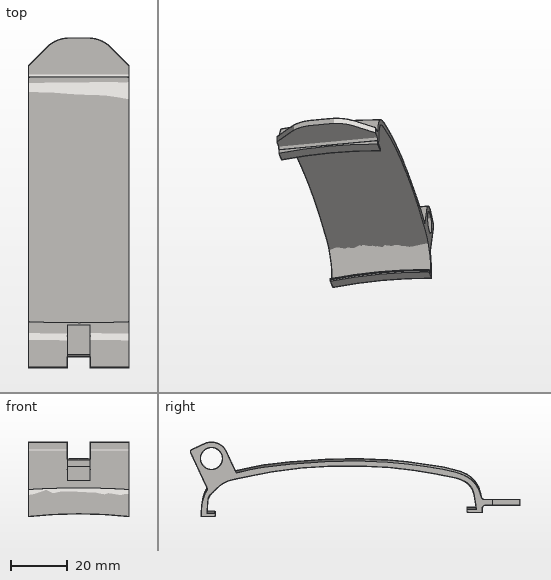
import cadquery as cq
import math

WIDTH = 35.6
CROWN_RADIUS = 163.2

FAR_WALL_OUTER_Y = 44.9
FAR_WALL_INNER_Y = 42.8
FAR_FOOT_Z = 1.4
FAR_HOOK_TIP_Y = 39.4
NEAR_WALL_OUTER_Y = -54.5
NEAR_WALL_INNER_Y = -52.4
NEAR_HOOK_TIP_Y = -49.3
HOOK_THICKNESS = 1.0
HOOK_TIP_CHAMFER = 0.3

OUTER_START = (44.5, 5.8)
OUTER_CURVE = [
    (43.6, 9.6), (41.0, 13.0), (35.5, 15.6), (28.9, 17.0), (15.7, 18.8), (1.5, 19.6),
    (-20.6, 18.7), (-29.8, 17.7), (-42.3, 15.3), (-48.4, 12.8), (-52.7, 8.7), (-54.0, 5.2),
    (NEAR_WALL_OUTER_Y, 0.9),
]
INNER_START = (-52.1, 4.7)
INNER_CURVE = [
    (-51.5, 7.1), (-50.0, 8.9), (-46.3, 11.9), (-42.3, 13.2), (-32.1, 15.3), (-18.4, 17.1),
    (1.5, 17.7), (15.7, 16.9), (26.7, 15.3), (33.2, 14.1), (39.3, 11.9), (42.0, 7.6),
]

TAB_END_Y = 58.3
TAB_BOTTOM_Z = 3.0
TAB_THICKNESS = 2.1
TAB_CORNER_CUT = 9.8
TAB_CORNER_RADIUS = 11.1
TAB_ROOT_Y = 43.7
TAB_ROOT_FILLET = 1.2

LUG_TILT = 25.0
PIN_Y = -50.8
PIN_Z = 19.6
PIN_RADIUS = 3.8
LUG_RADIUS = 5.8
LUG_DEPTH = 17.5
LUG_CORNER_RADIUS = 0.8
LUG_SLOT_WIDTH = 8.0

HALF_WIDTH = WIDTH / 2
TRIM_HEIGHT = 116.6


def sweep_crown(profile):
    """Sweep a centre-plane profile across the width and trim it to flat sides."""
    sweep_angle = 2 * math.degrees(math.asin(WIDTH / CROWN_RADIUS))
    axis_start = (0, -CROWN_RADIUS)
    axis_end = (1, -CROWN_RADIUS)
    swept = profile.revolve(sweep_angle, axis_start, axis_end)
    swept = swept.rotate((0, 0, -CROWN_RADIUS), (0, 1, -CROWN_RADIUS), -sweep_angle / 2)
    trim = cq.Workplane("XY").box(WIDTH, 2 * TAB_END_Y, TRIM_HEIGHT)
    return swept.intersect(trim)


def make_shell():
    far_hook_top = FAR_FOOT_Z + HOOK_THICKNESS
    profile = (
        cq.Workplane("YZ")
        .moveTo(FAR_WALL_OUTER_Y, FAR_FOOT_Z)
        .lineTo(*OUTER_START)
        .spline(OUTER_CURVE, includeCurrent=True)
        .lineTo(NEAR_WALL_OUTER_Y, 0)
        .lineTo(NEAR_HOOK_TIP_Y - HOOK_TIP_CHAMFER, 0)
        .lineTo(NEAR_HOOK_TIP_Y, HOOK_TIP_CHAMFER)
        .lineTo(NEAR_HOOK_TIP_Y, HOOK_THICKNESS - HOOK_TIP_CHAMFER)
        .lineTo(NEAR_HOOK_TIP_Y - HOOK_TIP_CHAMFER, HOOK_THICKNESS)
        .lineTo(NEAR_WALL_INNER_Y, HOOK_THICKNESS)
        .lineTo(*INNER_START)
        .spline(INNER_CURVE, includeCurrent=True)
        .lineTo(FAR_WALL_INNER_Y, far_hook_top)
        .lineTo(FAR_HOOK_TIP_Y, far_hook_top)
        .lineTo(FAR_HOOK_TIP_Y, FAR_FOOT_Z + HOOK_TIP_CHAMFER)
        .lineTo(FAR_HOOK_TIP_Y + HOOK_TIP_CHAMFER, FAR_FOOT_Z)
        .close()
    )
    return sweep_crown(profile)


def make_cavity():
    """Space under the roof, which the lug must not enter."""
    profile = (
        cq.Workplane("YZ")
        .moveTo(NEAR_WALL_INNER_Y, 0)
        .lineTo(*INNER_START)
        .spline(INNER_CURVE, includeCurrent=True)
        .lineTo(FAR_WALL_INNER_Y, 0)
        .close()
    )
    return sweep_crown(profile)


def make_tab():
    tab_length = TAB_END_Y - TAB_ROOT_Y
    tab = (
        cq.Workplane("XY")
        .box(WIDTH, tab_length, TAB_THICKNESS, centered=(True, False, False))
        .translate((0, TAB_ROOT_Y, TAB_BOTTOM_Z))
        .edges("|Z and >Y")
        .chamfer(TAB_CORNER_CUT)
    )
    for side in (-1, 1):
        corner = (side * (HALF_WIDTH - TAB_CORNER_CUT), TAB_END_Y, TAB_BOTTOM_Z)
        tab = tab.edges("|Z").edges(cq.NearestToPointSelector(corner)).fillet(TAB_CORNER_RADIUS)
    return tab


def make_tab_root():
    """Concave rounds above and below the tab where it meets the far wall."""
    top = TAB_BOTTOM_Z + TAB_THICKNESS
    r = TAB_ROOT_FILLET
    blend_y = FAR_WALL_OUTER_Y + r
    upper_y = OUTER_START[0] + r
    mid = r * (1 - math.sqrt(0.5))
    return (
        cq.Workplane("YZ")
        .moveTo(TAB_ROOT_Y, TAB_BOTTOM_Z - r)
        .lineTo(FAR_WALL_OUTER_Y, TAB_BOTTOM_Z - r)
        .threePointArc((FAR_WALL_OUTER_Y + mid, TAB_BOTTOM_Z - mid), (blend_y, TAB_BOTTOM_Z))
        .lineTo(blend_y, top)
        .lineTo(upper_y, top)
        .threePointArc((upper_y - r + mid, top + mid), (upper_y - r, top + r))
        .lineTo(TAB_ROOT_Y, top + r)
        .close()
        .extrude(HALF_WIDTH, both=True)
    )


def tilt_lug(body):
    """Move a body built about the pin axis to its tilted place."""
    return body.rotate((0, 0, 0), (1, 0, 0), LUG_TILT).translate((0, PIN_Y, PIN_Z))


def make_lug():
    block = (
        cq.Workplane("YZ")
        .moveTo(-LUG_RADIUS, LUG_RADIUS)
        .lineTo(0, LUG_RADIUS)
        .radiusArc((LUG_RADIUS, 0), LUG_RADIUS)
        .lineTo(LUG_RADIUS, -LUG_DEPTH)
        .lineTo(-LUG_RADIUS, -LUG_RADIUS * 2)
        .close()
        .extrude(HALF_WIDTH, both=True)
        .edges("|X and <Y and >Z")
        .fillet(LUG_CORNER_RADIUS)
    )
    return tilt_lug(block)


def make_pin_hole():
    hole = cq.Workplane("YZ").circle(PIN_RADIUS).extrude(HALF_WIDTH, both=True)
    return tilt_lug(hole)


def make_lug_slot():
    slot = cq.Workplane("XY").box(LUG_SLOT_WIDTH, 2 * LUG_RADIUS, 2 * LUG_RADIUS)
    return tilt_lug(slot)


lug = make_lug().cut(make_cavity()).cut(make_pin_hole()).cut(make_lug_slot())
result = make_shell().union(make_tab()).union(make_tab_root()).union(lug)